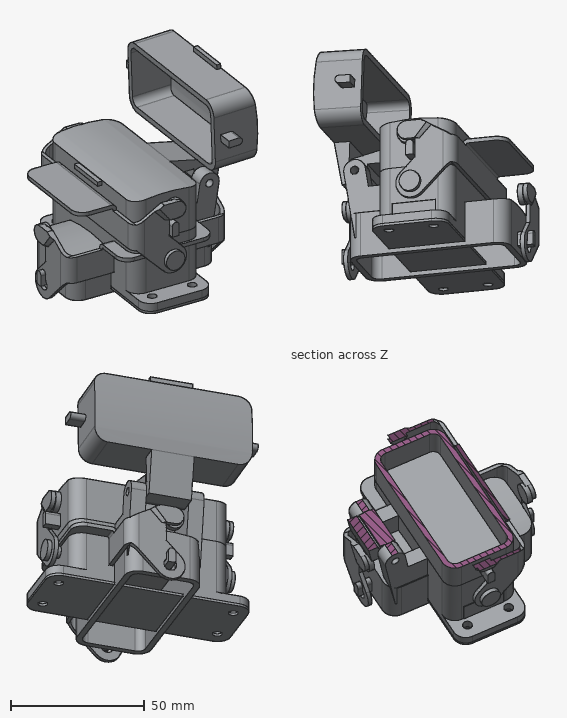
import cadquery as cq
import math

HOOD_LENGTH = 63.0
HOOD_WIDTH = 29.75
HOOD_CORNER_RADIUS = 5.4
HOOD_WALL = 2.3
ROOF_THICKNESS = 1.4
RIM_DEPTH = 2.7
SHOULDER_HEIGHT = 14.6
CROWN_HEIGHT = 16.2
PEG_SPAN = 75.0
PEG_WIDTH = 3.0
PEG_HEIGHT = 5.9

COVER_LIFT = 27.6
FLANGE_LENGTH = 81.0
FLANGE_THICKNESS = 3.35
FLANGE_CORNER_RADIUS = 5.2
GASKET_THICKNESS = 1.0
MOUNT_HOLE_DIAMETER = 3.6
MOUNT_HOLE_X = 34.9
MOUNT_HOLE_Y = 8.8
LABEL_PAD_WIDTH = 17.05
LABEL_PAD_TOP = 10.7
LABEL_PAD_THICKNESS = 0.25

PIVOT_HEIGHT = 17.2
SHANK_DIAMETER = 4.7
PIN_HEAD_DIAMETER = 8.0
PIN_HEAD_THICKNESS = 1.7

HINGE_Y = 28.6
HINGE_Z = 31.8
HINGE_HOLE_DIAMETER = 3.2
LUG_RADIUS = 4.3
LUG_LEAN = 9.2
LUG_BOTTOM = 4.9
LUG_OUTER_X = 14.5
BARREL_RADIUS = 3.2
ARM_WIDTH = 17.0
ARM_UNDERSIDE = 8.4
CATCH_REACH = 2.0
CATCH_TOP = 14.4
CATCH_THICKNESS = 1.75
OPENING_ANGLE = 88.0

BAIL_THICKNESS = 1.6
BAIL_HALF_SPAN = 35.5
BAIL_FRONT = 17.05
BAIL_BEND_RADIUS = 4.5
BAIL_EYE_RADIUS = 5.9
BAIL_HOLE_DIAMETER = 5.0
BAND_BOTTOM = 6.9
BAND_TOP = 17.9
HOOK_TOP = 24.2
HOOK_RADIUS = 3.5
HOOK_CENTRE_Y = 1.7
HOOK_SHOULDER_Y = -4.3
NECK_FRONT_Y = -1.6
ROLLER_DIAMETER = 8.0
ROLLER_INNER_X = 32.7
ROLLER_THICKNESS = 2.1
HOOK_RAISE = 0.9
JOG_CREST_LOWER_Y = -1.7
JOG_CREST_UPPER_Y = -6.35
JOG_RUN = 1.7
HANDLE_WIDTH = 40.3
HANDLE_END = 32.5
HANDLE_TOP = 20.5
HANDLE_CORNER_RADIUS = 5.0
HANDLE_INNER_BEND = 0.75

HALF_LENGTH = HOOD_LENGTH / 2
HALF_WIDTH = HOOD_WIDTH / 2
CROWN_RISE = CROWN_HEIGHT - SHOULDER_HEIGHT
CROWN_RADIUS = (HALF_WIDTH**2 + CROWN_RISE**2) / (2 * CROWN_RISE)
CROWN_CENTRE_Z = CROWN_HEIGHT - CROWN_RADIUS
HOUSING_TOP = COVER_LIFT - RIM_DEPTH


def centred_box(x_size, y_size, z_bottom, z_top):
    """A box centred on the Z axis between two heights."""
    return (
        cq.Workplane("XY")
        .workplane(offset=z_bottom)
        .rect(x_size, y_size)
        .extrude(z_top - z_bottom)
    )


def rounded_block(x_size, y_size, corner_radius, z_bottom, z_top):
    """A centred box with rounded vertical edges."""
    return centred_box(x_size, y_size, z_bottom, z_top).edges("|Z").fillet(corner_radius)


def x_cylinder(diameter, x_start, x_end, y=0.0, z=0.0):
    """A cylinder along X between two X positions."""
    return (
        cq.Workplane("YZ", origin=(x_start, 0, 0))
        .center(y, z)
        .circle(diameter / 2)
        .extrude(x_end - x_start)
    )


def domed_block(inset, bottom, roof_drop):
    """The hood outline moved inward by inset, under a crown lowered by roof_drop."""
    block = rounded_block(
        HOOD_LENGTH - 2 * inset,
        HOOD_WIDTH - 2 * inset,
        HOOD_CORNER_RADIUS - inset,
        bottom,
        CROWN_HEIGHT,
    )
    crown = x_cylinder(2 * (CROWN_RADIUS - roof_drop), -HALF_LENGTH, HALF_LENGTH, z=CROWN_CENTRE_Z)
    return block.intersect(crown)


def hood_envelope():
    """The hood outside, with its cavity filled."""
    return domed_block(0, -RIM_DEPTH, 0)


def pegs():
    """A flat-based, round-topped bar whose ends are the two latch pegs."""
    arc_centre_z = PEG_HEIGHT - PEG_WIDTH / 2
    return (
        cq.Workplane("YZ")
        .moveTo(-PEG_WIDTH / 2, 0)
        .lineTo(PEG_WIDTH / 2, 0)
        .lineTo(PEG_WIDTH / 2, arc_centre_z)
        .threePointArc((0, PEG_HEIGHT), (-PEG_WIDTH / 2, arc_centre_z))
        .close()
        .extrude(PEG_SPAN / 2, both=True)
    )


def hood():
    """Open-bottomed shell with a latch peg on each end."""
    cavity = domed_block(HOOD_WALL, -RIM_DEPTH, ROOF_THICKNESS)
    return hood_envelope().union(pegs()).cut(cavity)


def hinge_arm():
    """Arm that leaves the crown at a tangent and ends in the hinge barrel."""
    axis_z = HINGE_Z - COVER_LIFT
    slope = HALF_WIDTH / (CROWN_RADIUS - CROWN_RISE)
    barrel_back = HINGE_Y + BARREL_RADIUS
    barrel_front = HINGE_Y - BARREL_RADIUS
    root_y = HALF_WIDTH - HOOD_WALL / 2
    return (
        cq.Workplane("YZ")
        .moveTo(root_y, ARM_UNDERSIDE)
        .lineTo(root_y, SHOULDER_HEIGHT)
        .lineTo(HALF_WIDTH, SHOULDER_HEIGHT)
        .lineTo(barrel_back, SHOULDER_HEIGHT - slope * (barrel_back - HALF_WIDTH))
        .lineTo(barrel_back, axis_z)
        .threePointArc((HINGE_Y, axis_z - BARREL_RADIUS), (barrel_front, axis_z))
        .lineTo(barrel_front, ARM_UNDERSIDE)
        .close()
        .extrude(ARM_WIDTH / 2, both=True)
    )


def catch_tab():
    """Finger lip on the side opposite the hinge."""
    depth = CATCH_REACH + HOOD_WALL / 2
    lip = centred_box(ARM_WIDTH, depth, CATCH_TOP - CATCH_THICKNESS, CATCH_TOP)
    return lip.translate((0, depth / 2 - HALF_WIDTH - CATCH_REACH, 0))


def cover():
    """Hinged cover in its closed position on the housing."""
    return hood().union(hinge_arm()).union(catch_tab()).translate((0, 0, COVER_LIFT))


def bail_outline():
    """Side profile of the plates and band, filling the full span."""
    tangent = BAIL_EYE_RADIUS / math.sqrt(2)
    hook_centre_z = HOOK_TOP - HOOK_RADIUS
    hook_bottom = HOOK_TOP - 2 * HOOK_RADIUS
    band_inside = BAIL_THICKNESS - BAIL_FRONT
    return (
        cq.Workplane("YZ")
        .moveTo(-tangent, -tangent)
        .lineTo(-BAND_BOTTOM - 2 * tangent, BAND_BOTTOM)
        .lineTo(-BAIL_FRONT, BAND_BOTTOM)
        .lineTo(-BAIL_FRONT, BAND_TOP)
        .lineTo(band_inside, BAND_TOP)
        .lineTo(HOOK_SHOULDER_Y, HOOK_TOP)
        .lineTo(HOOK_CENTRE_Y, HOOK_TOP)
        .threePointArc((HOOK_CENTRE_Y + HOOK_RADIUS, hook_centre_z), (HOOK_CENTRE_Y, hook_bottom))
        .lineTo(NECK_FRONT_Y, hook_bottom)
        .lineTo(NECK_FRONT_Y, 2 * tangent - NECK_FRONT_Y)
        .lineTo(tangent, tangent)
        .threePointArc((tangent, -tangent), (-tangent, -tangent))
        .close()
        .extrude(BAIL_HALF_SPAN, both=True)
    )


def bail_strip():
    """U-shaped bent strip, tall enough to hold the whole side profile."""
    outer = rounded_block(
        2 * BAIL_HALF_SPAN, 2 * BAIL_FRONT, BAIL_BEND_RADIUS, -BAIL_EYE_RADIUS, HOOK_TOP
    )
    inner = rounded_block(
        2 * (BAIL_HALF_SPAN - BAIL_THICKNESS),
        2 * (BAIL_FRONT - BAIL_THICKNESS),
        BAIL_BEND_RADIUS - BAIL_THICKNESS,
        -BAIL_EYE_RADIUS,
        HOOK_TOP,
    )
    return outer.cut(inner)


def raised_hook():
    """Outer layer of the +X hook, with a sloping jog down to the plate."""
    hook_bottom = HOOK_TOP - 2 * HOOK_RADIUS
    edge_slope = (HOOK_TOP - BAND_TOP) / (BAIL_FRONT - BAIL_THICKNESS + HOOK_SHOULDER_Y)

    def layer_points(run):
        lower_y = JOG_CREST_LOWER_Y - run
        upper_y = JOG_CREST_UPPER_Y - run
        return [
            (HOOK_CENTRE_Y, hook_bottom),
            (HOOK_CENTRE_Y, HOOK_TOP),
            (HOOK_SHOULDER_Y, HOOK_TOP),
            (upper_y, HOOK_TOP + edge_slope * (upper_y - HOOK_SHOULDER_Y)),
            (lower_y, hook_bottom),
        ]

    jog = (
        cq.Workplane("YZ", origin=(BAIL_HALF_SPAN, 0, 0))
        .polyline(layer_points(JOG_RUN))
        .close()
        .workplane(offset=HOOK_RAISE)
        .polyline(layer_points(0))
        .close()
        .loft(ruled=True)
    )
    round_end = x_cylinder(
        2 * HOOK_RADIUS,
        BAIL_HALF_SPAN,
        BAIL_HALF_SPAN + HOOK_RAISE,
        HOOK_CENTRE_Y,
        HOOK_TOP - HOOK_RADIUS,
    )
    return jog.union(round_end)


def hook_roller():
    """Thick disc on the inside of the +X hook."""
    return x_cylinder(
        ROLLER_DIAMETER,
        ROLLER_INNER_X,
        ROLLER_INNER_X + ROLLER_THICKNESS,
        HOOK_CENTRE_Y,
        HOOK_TOP - ROLLER_DIAMETER / 2,
    )


def bail_handle():
    """Handle that rises from the band and bends outward."""
    outer_bend = HANDLE_INNER_BEND + BAIL_THICKNESS
    underside = HANDLE_TOP - BAIL_THICKNESS
    inside_y = BAIL_THICKNESS - BAIL_FRONT
    bend_y = -BAIL_FRONT - HANDLE_INNER_BEND
    bend_z = underside - HANDLE_INNER_BEND
    diagonal = math.sqrt(0.5)
    return (
        cq.Workplane("YZ")
        .moveTo(inside_y, BAND_BOTTOM)
        .lineTo(inside_y, bend_z)
        .threePointArc(
            (bend_y + outer_bend * diagonal, bend_z + outer_bend * diagonal), (bend_y, HANDLE_TOP)
        )
        .lineTo(-HANDLE_END, HANDLE_TOP)
        .lineTo(-HANDLE_END, underside)
        .lineTo(bend_y, underside)
        .threePointArc(
            (bend_y + HANDLE_INNER_BEND * diagonal, bend_z + HANDLE_INNER_BEND * diagonal),
            (-BAIL_FRONT, bend_z),
        )
        .lineTo(-BAIL_FRONT, BAND_BOTTOM)
        .close()
        .extrude(HANDLE_WIDTH / 2, both=True)
        .faces("<Y")
        .edges("|Z")
        .fillet(HANDLE_CORNER_RADIUS)
    )


def bail():
    """Bent locking bail with its pivot axis along X through the origin."""
    body = bail_outline().intersect(bail_strip()).union(bail_handle())
    for end_feature in (raised_hook(), hook_roller()):
        body = body.union(end_feature).union(end_feature.mirror("YZ"))
    return body.cut(x_cylinder(BAIL_HOLE_DIAMETER, -BAIL_HALF_SPAN, BAIL_HALF_SPAN))


def hinge_lug(x_start):
    """Leaning lug with a round head and a cross hole, running back into the housing."""
    lean = math.radians(LUG_LEAN)
    side_y = LUG_RADIUS * math.cos(lean)
    side_z = LUG_RADIUS * math.sin(lean)
    back_y = HINGE_Y + side_y
    back_z = HINGE_Z - side_z
    front_y = HINGE_Y - side_y
    front_z = HINGE_Z + side_z
    thickness = LUG_OUTER_X - ARM_WIDTH / 2
    lug = (
        cq.Workplane("YZ", origin=(x_start, 0, 0))
        .moveTo(back_y, back_z)
        .threePointArc(
            (HINGE_Y + LUG_RADIUS * math.sin(lean), HINGE_Z + LUG_RADIUS * math.cos(lean)),
            (front_y, front_z),
        )
        .lineTo(front_y - (front_z - HOUSING_TOP) * math.tan(lean), HOUSING_TOP)
        .lineTo(0, HOUSING_TOP)
        .lineTo(0, LUG_BOTTOM)
        .lineTo(back_y - (back_z - LUG_BOTTOM) * math.tan(lean), LUG_BOTTOM)
        .close()
        .extrude(thickness)
    )
    return lug.cut(x_cylinder(HINGE_HOLE_DIAMETER, x_start, x_start + thickness, HINGE_Y, HINGE_Z))


def flange_plate(z_bottom, z_top):
    """Rounded plate with the four mounting holes."""
    plate = rounded_block(FLANGE_LENGTH, HOOD_WIDTH, FLANGE_CORNER_RADIUS, z_bottom, z_top)
    holes = (
        cq.Workplane("XY")
        .workplane(offset=z_bottom)
        .rect(2 * MOUNT_HOLE_X, 2 * MOUNT_HOLE_Y, forConstruction=True)
        .vertices()
        .circle(MOUNT_HOLE_DIAMETER / 2)
        .extrude(z_top - z_bottom)
    )
    return plate.cut(holes)


def pivot_pins():
    """Headed pivot pins for the main bail on both ends of the housing."""
    half_span = PEG_SPAN / 2
    head_inner = half_span - PIN_HEAD_THICKNESS
    shank = x_cylinder(SHANK_DIAMETER, -head_inner, head_inner, z=PIVOT_HEIGHT)
    head = x_cylinder(PIN_HEAD_DIAMETER, head_inner, half_span, z=PIVOT_HEIGHT)
    return shank.union(head).union(head.mirror("YZ"))


def label_pad():
    """Thin raised pad on the -X end, above the flange."""
    pad = centred_box(2 * LABEL_PAD_THICKNESS, LABEL_PAD_WIDTH, 0, LABEL_PAD_TOP)
    return pad.translate((-HALF_LENGTH, 0, 0))


def full_housing():
    """Housing before it is relieved for the side hood and side bail."""
    body = rounded_block(HOOD_LENGTH, HOOD_WIDTH, HOOD_CORNER_RADIUS, 0, HOUSING_TOP)
    body = body.union(flange_plate(0, FLANGE_THICKNESS)).union(pivot_pins()).union(label_pad())
    for x_start in (ARM_WIDTH / 2, -LUG_OUTER_X):
        body = body.union(hinge_lug(x_start))
    return body


def across(shape):
    """Turn a shape a quarter turn about Z, so that its -Y side faces +X."""
    return shape.rotate((0, 0, 0), (0, 0, 1), 90)


gasket = flange_plate(-GASKET_THICKNESS, 0)
side_hood = across(hood()).cut(gasket)
side_hood_space = across(hood_envelope())

main_bail = bail().translate((0, 0, PIVOT_HEIGHT))
side_bail = across(bail()).cut(side_hood)

open_cover = cover().rotate((0, HINGE_Y, HINGE_Z), (1, HINGE_Y, HINGE_Z), -OPENING_ANGLE)
closed_cover = cover().cut(open_cover)

housing = full_housing().cut(side_hood_space).cut(side_bail)

result = cq.Compound.makeCompound([
    housing.val(),
    gasket.val(),
    side_hood.val(),
    closed_cover.val(),
    open_cover.val(),
    main_bail.val(),
    side_bail.val(),
])